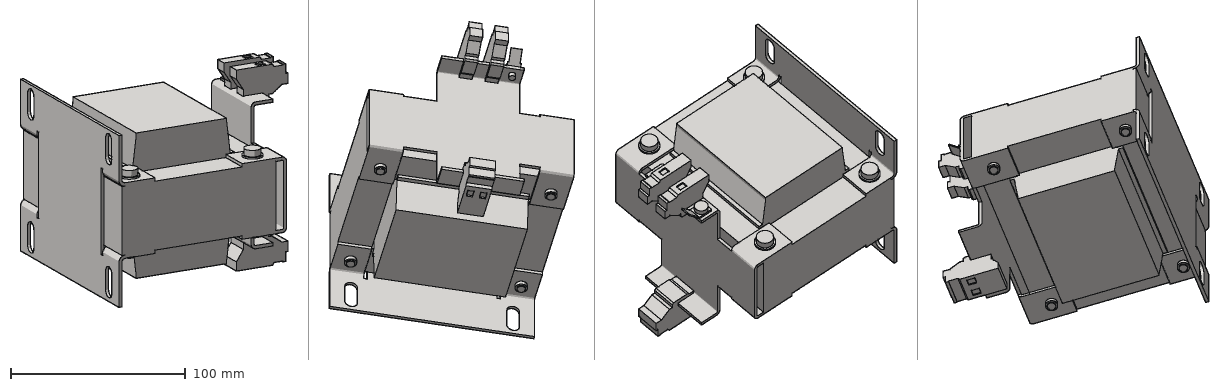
import cadquery as cq
import math

SHEET = 2.0
CORE_WIDTH = 120.0
CORE_DEPTH = 100.0
CORE_HEIGHT = 41.5
CORE_HALF_WIDTH = CORE_WIDTH / 2
CORE_TOP = CORE_HEIGHT / 2
CORE_FRONT = SHEET
CORE_BACK = CORE_FRONT + CORE_DEPTH
LIMB_WIDTH = CORE_WIDTH / 6
WINDOW_EDGE = CORE_HALF_WIDTH - LIMB_WIDTH
WINDOW_FRONT = CORE_FRONT + LIMB_WIDTH
WINDOW_BACK = CORE_BACK - LIMB_WIDTH

COIL_WIDTH = 77.0
COIL_TOP = 43.75
FLANGE_MARGIN = 4.3
COIL_TAPER_BASE = 1.7
COIL_LIP = 2.2
COIL_TOP_SETBACK = 0.6
BOBBIN_FLANGE_TOP = CORE_TOP + SHEET

TAB_TOP = CORE_TOP + SHEET
BEND_INNER = 2.0
BEND_OUTER = BEND_INNER + SHEET
TIGHT_BEND_INNER = 1.0
TIGHT_BEND_OUTER = TIGHT_BEND_INNER + SHEET

MOUNT_PLATE_HEIGHT = 103.4
FRONT_TAB_END = 23.5
RELIEF_WIDTH = 2.0
RELIEF_TOP = 26.0
SLOT_LENGTH = 18.5
SLOT_WIDTH = 7.5
SLOT_SPACING_X = 95.0
SLOT_SPACING_Z = 80.0

BACK_PLATE_OUTER = 108.9
BACK_PLATE_INNER = BACK_PLATE_OUTER - SHEET
BACK_TAB_END = 80.0
RISER_LEFT = -28.0
RISER_RIGHT = 20.4
SHELF_TOP = 44.2
SHELF_BOTTOM = SHELF_TOP - SHEET
SHELF_END = 121.0

BOLT_X = CORE_HALF_WIDTH - LIMB_WIDTH / 2
BOLT_YS = (CORE_FRONT + LIMB_WIDTH / 2, CORE_BACK - LIMB_WIDTH / 2)
WASHER_DIAMETER = 12.2
WASHER_THICKNESS = 1.0
BOLT_HEAD_DIAMETER = 10.0
BOLT_HEAD_HEIGHT = 3.9
NUT_DIAMETER = 7.0
NUT_HEIGHT = 2.3
BOLT_END_DIAMETER = 5.0
BOLT_END_LENGTH = 3.2

TERMINAL_WIDTH = 7.6
TERMINAL_TOP = 60.5
UPPER_TERMINAL_LEFTS = (-2 * TERMINAL_WIDTH, 0.0)
LOWER_TERMINAL_LEFTS = (-TERMINAL_WIDTH, 0.0)
TERMINAL_PROFILE = [
    (104.2, TERMINAL_TOP),
    (127.6, TERMINAL_TOP),
    (128.7, 59.0),
    (134.4, 59.0),
    (134.4, 59.5),
    (136.2, 59.5),
    (136.2, 53.7),
    (137.7, 53.7),
    (137.7, 47.4),
    (133.7, 47.4),
    (127.5, 42.8),
    (125.4, 42.8),
    (125.4, 40.5),
    (124.4, 39.5),
    (114.3, 39.5),
    (112.5, 40.5),
    (108.7, 40.5),
    (108.7, 48.1),
    (104.2, 54.9),
]
POCKET_WIDTH = 3.6
POCKET_LENGTH = 4.8
POCKET_DEPTH = 1.0
POCKET_Y = 121.6

EARTH_X = -22.0
EARTH_Y = 116.0
EARTH_PLATE_WIDTH = 8.0
EARTH_PLATE_FRONT = 111.6
EARTH_WASHER_THICKNESS = 0.5
EARTH_PLATE_THICKNESS = 0.8
EARTH_HEAD_DIAMETER = 8.0
EARTH_HEAD_HEIGHT = 2.9
EARTH_SHANK_DIAMETER = 4.0
EARTH_SHANK_END = 39.6
TONGUE_WIDTH = 6.6
TONGUE_RUN = 7.2
SHOULDER_RUN = 1.4


def box(x0, x1, y0, y1, z0, z1):
    return cq.Workplane("XY").box(x1 - x0, y1 - y0, z1 - z0, centered=False).translate((x0, y0, z0))


def disc(x, y, z, diameter, height):
    return cq.Workplane("XY").circle(diameter / 2).extrude(height).translate((x, y, z))


def extrude_yz(profile, x0, x1):
    """Extrude a closed profile drawn on the YZ plane from x0 to x1."""
    return profile.extrude(x1 - x0).translate((x0, 0, 0))


def with_mirror(body, plane):
    return body.union(body.mirror(plane))


def arc_middle(center_y, center_z, radius, angle_degrees):
    angle = math.radians(angle_degrees)
    return center_y + radius * math.cos(angle), center_z + radius * math.sin(angle)


def make_core():
    core = box(-CORE_HALF_WIDTH, CORE_HALF_WIDTH, CORE_FRONT, CORE_BACK, -CORE_TOP, CORE_TOP)
    window = box(-WINDOW_EDGE, WINDOW_EDGE, WINDOW_FRONT, WINDOW_BACK, -CORE_TOP, CORE_TOP)
    return core.cut(window)


def make_coil():
    half = COIL_WIDTH / 2
    inside = box(-half, half, WINDOW_FRONT, WINDOW_BACK, -CORE_TOP, CORE_TOP)
    flange = box(
        -half, half,
        WINDOW_FRONT - FLANGE_MARGIN, WINDOW_BACK + FLANGE_MARGIN,
        CORE_TOP, BOBBIN_FLANGE_TOP,
    )
    cover_profile = cq.Workplane("YZ").polyline([
        (WINDOW_FRONT - COIL_TAPER_BASE, BOBBIN_FLANGE_TOP),
        (WINDOW_BACK + COIL_TAPER_BASE, BOBBIN_FLANGE_TOP),
        (WINDOW_BACK - COIL_TOP_SETBACK, COIL_TOP - COIL_LIP),
        (WINDOW_BACK - COIL_TOP_SETBACK, COIL_TOP),
        (WINDOW_FRONT + COIL_TOP_SETBACK, COIL_TOP),
        (WINDOW_FRONT + COIL_TOP_SETBACK, COIL_TOP - COIL_LIP),
    ]).close()
    head = flange.union(extrude_yz(cover_profile, -half, half))
    return inside.union(with_mirror(head, "XY"))


def make_mount_plate():
    half_height = MOUNT_PLATE_HEIGHT / 2
    plate = box(-CORE_HALF_WIDTH, CORE_HALF_WIDTH, 0, SHEET, -half_height, half_height)
    slots = (
        cq.Workplane("XZ")
        .rect(SLOT_SPACING_X, SLOT_SPACING_Z, forConstruction=True)
        .vertices()
        .slot2D(SLOT_LENGTH, SLOT_WIDTH, 90)
        .extrude(-SHEET)
    )
    bend_z = CORE_TOP + BEND_OUTER
    opening = box(-CORE_HALF_WIDTH, -WINDOW_EDGE, 0, SHEET, -bend_z, bend_z)
    relief = box(-WINDOW_EDGE, -WINDOW_EDGE + RELIEF_WIDTH, 0, SHEET, -RELIEF_TOP, RELIEF_TOP)
    plate = plate.cut(slots).cut(with_mirror(opening.union(relief), "YZ"))

    tab_profile = (
        cq.Workplane("YZ")
        .moveTo(0, bend_z)
        .threePointArc(arc_middle(BEND_OUTER, bend_z, BEND_OUTER, 225), (BEND_OUTER, CORE_TOP))
        .lineTo(FRONT_TAB_END, CORE_TOP)
        .lineTo(FRONT_TAB_END, TAB_TOP)
        .lineTo(BEND_OUTER, TAB_TOP)
        .threePointArc(arc_middle(BEND_OUTER, bend_z, BEND_INNER, 225), (SHEET, bend_z))
        .close()
    )
    tab = extrude_yz(tab_profile, -CORE_HALF_WIDTH, -WINDOW_EDGE)
    return plate.union(with_mirror(with_mirror(tab, "XY"), "YZ"))


def make_terminal_bracket():
    bend_y = BACK_PLATE_INNER - TIGHT_BEND_INNER
    bend_z = TAB_TOP - TIGHT_BEND_OUTER
    strip = box(-CORE_HALF_WIDTH, CORE_HALF_WIDTH, BACK_PLATE_INNER, BACK_PLATE_OUTER, -bend_z, bend_z)
    tab_profile = (
        cq.Workplane("YZ")
        .moveTo(BACK_TAB_END, CORE_TOP)
        .lineTo(bend_y, CORE_TOP)
        .threePointArc(arc_middle(bend_y, bend_z, TIGHT_BEND_INNER, 45), (BACK_PLATE_INNER, bend_z))
        .lineTo(BACK_PLATE_OUTER, bend_z)
        .threePointArc(arc_middle(bend_y, bend_z, TIGHT_BEND_OUTER, 45), (bend_y, TAB_TOP))
        .lineTo(BACK_TAB_END, TAB_TOP)
        .close()
    )
    tab = with_mirror(extrude_yz(tab_profile, -CORE_HALF_WIDTH, -WINDOW_EDGE), "YZ")

    shelf_bend_y = BACK_PLATE_OUTER + TIGHT_BEND_INNER
    shelf_bend_z = SHELF_BOTTOM - TIGHT_BEND_INNER
    riser_profile = (
        cq.Workplane("YZ")
        .moveTo(BACK_PLATE_INNER, 0)
        .lineTo(BACK_PLATE_INNER, shelf_bend_z)
        .threePointArc(
            arc_middle(shelf_bend_y, shelf_bend_z, TIGHT_BEND_OUTER, 135), (shelf_bend_y, SHELF_TOP))
        .lineTo(SHELF_END, SHELF_TOP)
        .lineTo(SHELF_END, SHELF_BOTTOM)
        .lineTo(shelf_bend_y, SHELF_BOTTOM)
        .threePointArc(
            arc_middle(shelf_bend_y, shelf_bend_z, TIGHT_BEND_INNER, 135), (BACK_PLATE_OUTER, shelf_bend_z))
        .lineTo(BACK_PLATE_OUTER, 0)
        .close()
    )
    riser = extrude_yz(riser_profile, RISER_LEFT, RISER_RIGHT)
    return strip.union(with_mirror(tab.union(riser), "XY"))


def make_core_bolt(x, y):
    washer = disc(x, y, TAB_TOP, WASHER_DIAMETER, WASHER_THICKNESS)
    head = disc(x, y, TAB_TOP + WASHER_THICKNESS, BOLT_HEAD_DIAMETER, BOLT_HEAD_HEIGHT)
    nut = disc(x, y, -TAB_TOP - NUT_HEIGHT, NUT_DIAMETER, NUT_HEIGHT)
    end = disc(x, y, -TAB_TOP - BOLT_END_LENGTH, BOLT_END_DIAMETER, BOLT_END_LENGTH)
    return washer.union(head).union(nut).union(end)


def make_terminal(left):
    block = extrude_yz(cq.Workplane("YZ").polyline(TERMINAL_PROFILE).close(), left, left + TERMINAL_WIDTH)
    middle = left + TERMINAL_WIDTH / 2
    pocket = box(
        middle - POCKET_WIDTH / 2, middle + POCKET_WIDTH / 2,
        POCKET_Y - POCKET_LENGTH / 2, POCKET_Y + POCKET_LENGTH / 2,
        TERMINAL_TOP - POCKET_DEPTH, TERMINAL_TOP,
    )
    return block.cut(pocket)


def make_tongue(width, run, plate_top):
    """Strip rising at 45 degrees from the back edge of the earth plate."""
    rise = EARTH_PLATE_THICKNESS * math.sqrt(2)
    profile = cq.Workplane("YZ").polyline([
        (SHELF_END, plate_top - rise),
        (SHELF_END + run, plate_top - rise + run),
        (SHELF_END + run - rise / 2, plate_top + run - rise / 2),
        (SHELF_END, plate_top),
    ]).close()
    return extrude_yz(profile, EARTH_X - width / 2, EARTH_X + width / 2)


def make_earth_screw():
    half = EARTH_PLATE_WIDTH / 2
    plate_bottom = SHELF_TOP + EARTH_WASHER_THICKNESS
    plate_top = plate_bottom + EARTH_PLATE_THICKNESS
    plate = box(EARTH_X - half, EARTH_X + half, EARTH_PLATE_FRONT, SHELF_END, SHELF_TOP, plate_top)
    shoulder = make_tongue(EARTH_PLATE_WIDTH, SHOULDER_RUN, plate_top)
    tongue = make_tongue(TONGUE_WIDTH, TONGUE_RUN, plate_top)
    head = disc(EARTH_X, EARTH_Y, plate_top, EARTH_HEAD_DIAMETER, EARTH_HEAD_HEIGHT)
    shank = disc(EARTH_X, EARTH_Y, EARTH_SHANK_END, EARTH_SHANK_DIAMETER, SHELF_TOP - EARTH_SHANK_END)
    return plate.union(shoulder).union(tongue).union(head).union(shank)


result = make_core().union(make_coil()).union(make_mount_plate()).union(make_terminal_bracket())
for bolt_x in (-BOLT_X, BOLT_X):
    for bolt_y in BOLT_YS:
        result = result.union(make_core_bolt(bolt_x, bolt_y))
for terminal_left in UPPER_TERMINAL_LEFTS:
    result = result.union(make_terminal(terminal_left))
for terminal_left in LOWER_TERMINAL_LEFTS:
    result = result.union(make_terminal(terminal_left).mirror("XY"))
result = result.union(make_earth_screw())